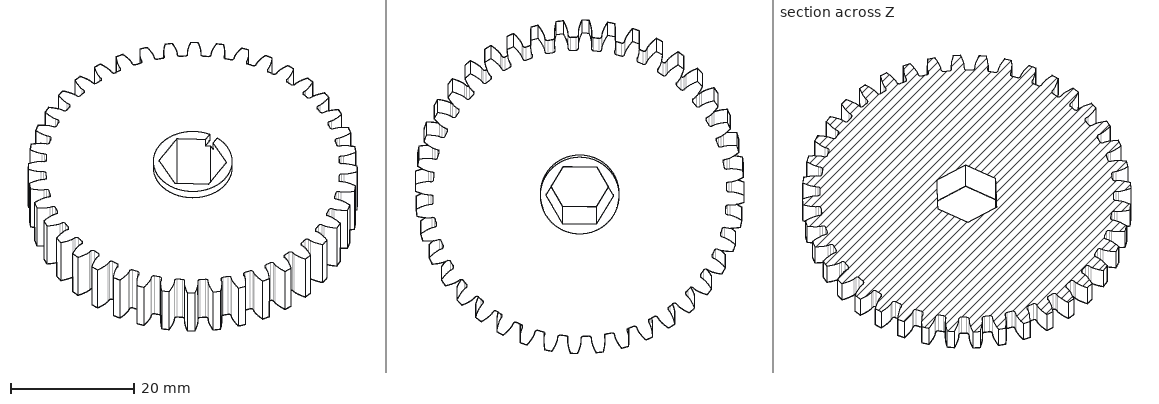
import cadquery as cq
import math

overall_width = 53.25
tooth_count = 40
pressure_angle = math.radians(14.5)
dedendum_in_modules = 1.25
root_fillet = 0.35
flank_points = 6

overall_height = 12.7
gear_thickness = 9.55
hub_diameter = 12.8
hex_across_flats = 9.5
notch_width = 1.45
hub_height = (overall_height - gear_thickness) / 2


def involute(angle):
    """Polar angle swept by an involute where its pressure angle is the given one."""
    return math.tan(angle) - angle


def polar(radius, angle):
    """XY point at a radius and an angle from +X."""
    return (radius * math.cos(angle), radius * math.sin(angle))


half_pitch_angle = math.pi / tooth_count
half_angle_at_base = half_pitch_angle / 2 + involute(pressure_angle)
tip_pressure_angle = math.acos(tooth_count * math.cos(pressure_angle) / (tooth_count + 2))
half_angle_at_tip = half_angle_at_base - involute(tip_pressure_angle)

tip_radius = overall_width / 2 / math.cos(half_pitch_angle - half_angle_at_tip)
module = 2 * tip_radius / (tooth_count + 2)
pitch_radius = module * tooth_count / 2
base_radius = pitch_radius * math.cos(pressure_angle)
root_radius = pitch_radius - dedendum_in_modules * module


def flank(center_angle, side):
    """Involute points from base to tip; side is -1 or +1 around the tooth center."""
    points = []
    for i in range(flank_points):
        unrolled_angle = math.tan(tip_pressure_angle) * i / (flank_points - 1)
        local_pressure_angle = math.atan(unrolled_angle)
        radius = base_radius / math.cos(local_pressure_angle)
        half_angle = half_angle_at_base - involute(local_pressure_angle)
        points.append(polar(radius, center_angle + side * half_angle))
    return points


def toothed_disc():
    """Spur gear with rounded tooth roots, centered on the XY plane."""
    pitch_angle = 2 * half_pitch_angle
    fillet_center_radius = root_radius + root_fillet
    fillet_angle = math.asin(root_fillet / fillet_center_radius)
    fillet_top_radius = fillet_center_radius * math.cos(fillet_angle)

    def root_corner(foot_angle, side):
        """Upper end, middle and lower end of the fillet beside a tooth foot."""
        center_angle = foot_angle + side * fillet_angle
        center_x, center_y = polar(fillet_center_radius, center_angle)
        flank_direction = foot_angle - side * math.pi / 2
        center_direction = center_angle - side * math.pi
        offset_x, offset_y = polar(root_fillet, (flank_direction + center_direction) / 2)
        return (
            polar(fillet_top_radius, foot_angle),
            (center_x + offset_x, center_y + offset_y),
            polar(root_radius, center_angle),
        )

    first_foot = half_pitch_angle - half_angle_at_base
    base_plane = cq.Workplane("XY", origin=(0, 0, -gear_thickness / 2))
    outline = base_plane.moveTo(*root_corner(first_foot, -1)[2])
    for i in range(tooth_count):
        tooth_angle = half_pitch_angle + i * pitch_angle
        rising = flank(tooth_angle, -1)
        falling = flank(tooth_angle, 1)[::-1]
        top, middle, _ = root_corner(tooth_angle - half_angle_at_base, -1)
        outline = outline.threePointArc(middle, top).lineTo(*rising[0])
        outline = outline.spline(rising[1:], includeCurrent=True)
        outline = outline.threePointArc(polar(tip_radius, tooth_angle), falling[0])
        outline = outline.spline(falling[1:], includeCurrent=True)
        top, middle, bottom = root_corner(tooth_angle + half_angle_at_base, 1)
        outline = outline.lineTo(*top).threePointArc(middle, bottom)
        gap_angle = tooth_angle + half_pitch_angle
        next_foot = tooth_angle + pitch_angle - half_angle_at_base
        gap_end = root_corner(next_foot, -1)[2]
        outline = outline.threePointArc(polar(root_radius, gap_angle), gap_end)
    return outline.close().extrude(gear_thickness)


def hub():
    """Round hub standing proud of both gear faces."""
    base_plane = cq.Workplane("XY", origin=(0, 0, -overall_height / 2))
    return base_plane.circle(hub_diameter / 2).extrude(overall_height)


def hex_bore():
    """Hexagonal through bore with corners on the Y axis."""
    across_corners = hex_across_flats / math.cos(math.pi / 6)
    base_plane = cq.Workplane("XY", origin=(0, 0, -overall_height / 2))
    prism = base_plane.polygon(6, across_corners).extrude(overall_height)
    return prism.rotate((0, 0, 0), (0, 0, 1), 90)


def hub_notch():
    """Radial slot through the +Y side of the upper hub, down to the gear face."""
    return (
        cq.Workplane("XY", origin=(0, 0, gear_thickness / 2))
        .rect(notch_width, hub_diameter)
        .extrude(hub_height)
        .translate((0, hub_diameter / 2, 0))
    )


result = toothed_disc().union(hub()).cut(hex_bore()).cut(hub_notch())